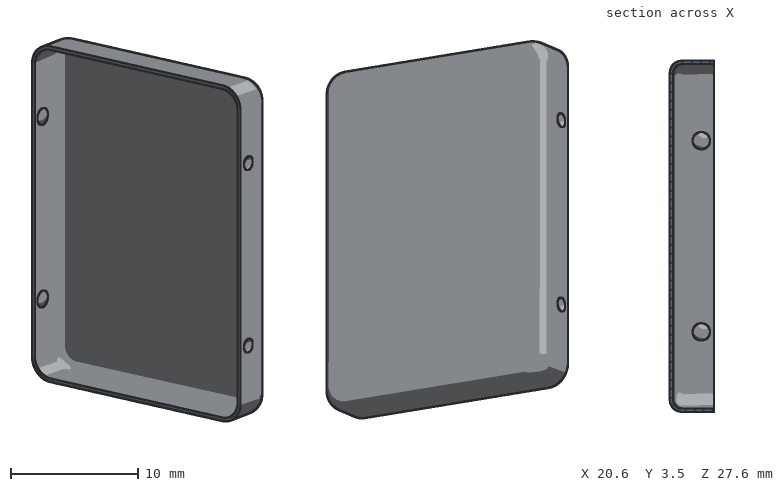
import cadquery as cq
import math

WIDTH = 20.6
DEPTH = 3.5
HEIGHT = 27.6
WALL = 0.3

CORNER_RADIUS = 1.8
BACK_EDGE_RADIUS = 1.0

DENT_SPHERE_RADIUS = 0.75
BUMP_SPHERE_RADIUS = DENT_SPHERE_RADIUS + WALL
DIMPLE_DEPTH = 0.25
DIMPLE_FROM_RIM = 1.0
DIMPLE_SPACING = 15.0

RIM_Y = -DEPTH / 2


def rounded_block(inset):
    """Block with rounded corners and a rounded back edge, offset inward from the outer shell."""
    return (
        cq.Workplane("XZ", origin=(0, RIM_Y, 0))
        .rect(WIDTH - 2 * inset, HEIGHT - 2 * inset)
        .extrude(-(DEPTH - inset))
        .edges("|Y")
        .fillet(CORNER_RADIUS - inset)
        .faces(">Y")
        .edges()
        .fillet(BACK_EDGE_RADIUS - inset)
    )


def spherical_cap(side, z, base_x, sphere_radius):
    """Cap of a sphere bulging toward the middle of the tray from a flat base at distance base_x."""
    cap_angle = math.acos(1 - DIMPLE_DEPTH / sphere_radius)
    base_radius = sphere_radius * math.sin(cap_angle)
    half_angle = cap_angle / 2
    tip_x = base_x - DIMPLE_DEPTH
    middle_x = tip_x + sphere_radius * (1 - math.cos(half_angle))
    middle_z = sphere_radius * math.sin(half_angle)
    return (
        cq.Workplane("XZ", origin=(0, RIM_Y + DIMPLE_FROM_RIM, z))
        .moveTo(side * base_x, 0)
        .lineTo(side * tip_x, 0)
        .threePointArc((side * middle_x, middle_z), (side * base_x, base_radius))
        .close()
        .revolve(360, (0, 0), (1, 0))
    )


def add_dimple(tray, side, z):
    """Raise the bump inside one side wall and hollow it from the outside."""
    outer_x = WIDTH / 2
    inner_x = outer_x - WALL
    bump = spherical_cap(side, z, inner_x, BUMP_SPHERE_RADIUS)
    dent = spherical_cap(side, z, outer_x, DENT_SPHERE_RADIUS)
    return tray.union(bump).cut(dent)


result = rounded_block(0).cut(rounded_block(WALL))

for side in (-1, 1):
    for z in (-DIMPLE_SPACING / 2, DIMPLE_SPACING / 2):
        result = add_dimple(result, side, z)